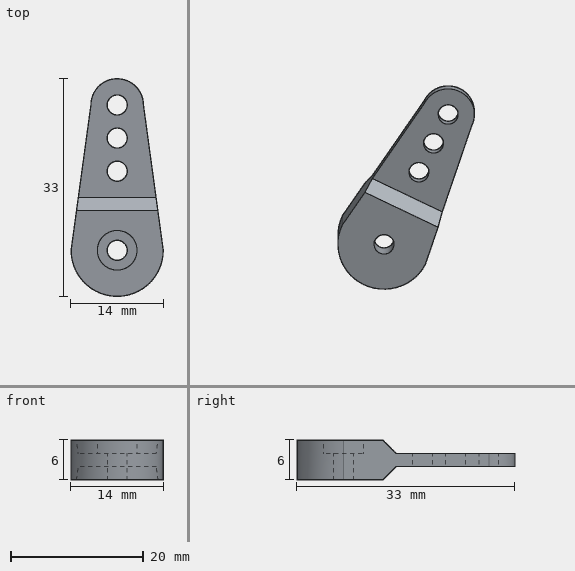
import cadquery as cq

length = 33.0
hub_radius = 7.0
tip_radius = 4.0
hub_height = 6.0
arm_thickness = 2.0
hub_flat_end = 6.0
hole_diameter = 3.0
hole_pitch = 5.0
hole_count = 3
recess_diameter = 6.0
recess_depth = 2.0

tip_y = length - hub_radius - tip_radius
half_hub = hub_height / 2
half_arm = arm_thickness / 2
taper_end = hub_flat_end + half_hub - half_arm


def plan_body():
    """Full-height lever: round hub and round tip joined by straight sides."""
    return (
        cq.Workplane("XY")
        .workplane(offset=-half_hub)
        .moveTo(hub_radius, 0)
        .lineTo(tip_radius, tip_y)
        .threePointArc((0, tip_y + tip_radius), (-tip_radius, tip_y))
        .lineTo(-hub_radius, 0)
        .threePointArc((0, -hub_radius), (hub_radius, 0))
        .close()
        .extrude(hub_height)
    )


def side_envelope():
    """Side profile that thins from the hub to the arm on both faces."""
    hub_end = -hub_radius
    arm_end = tip_y + tip_radius
    profile = [
        (hub_end, -half_hub),
        (hub_flat_end, -half_hub),
        (taper_end, -half_arm),
        (arm_end, -half_arm),
        (arm_end, half_arm),
        (taper_end, half_arm),
        (hub_flat_end, half_hub),
        (hub_end, half_hub),
    ]
    return cq.Workplane("YZ").polyline(profile).close().extrude(hub_radius, both=True)


def arm_holes():
    """Row of through holes, the last one concentric with the tip."""
    centers = [(0, tip_y - i * hole_pitch) for i in range(hole_count)]
    return (
        cq.Workplane("XY")
        .pushPoints(centers)
        .circle(hole_diameter / 2)
        .extrude(half_hub, both=True)
    )


def hub_bore():
    """Through hole on the hub axis with a round recess in the top face."""
    bore = cq.Workplane("XY").circle(hole_diameter / 2).extrude(half_hub, both=True)
    recess = (
        cq.Workplane("XY")
        .workplane(offset=half_hub - recess_depth)
        .circle(recess_diameter / 2)
        .extrude(recess_depth)
    )
    return bore.union(recess)


result = plan_body().intersect(side_envelope()).cut(arm_holes()).cut(hub_bore())